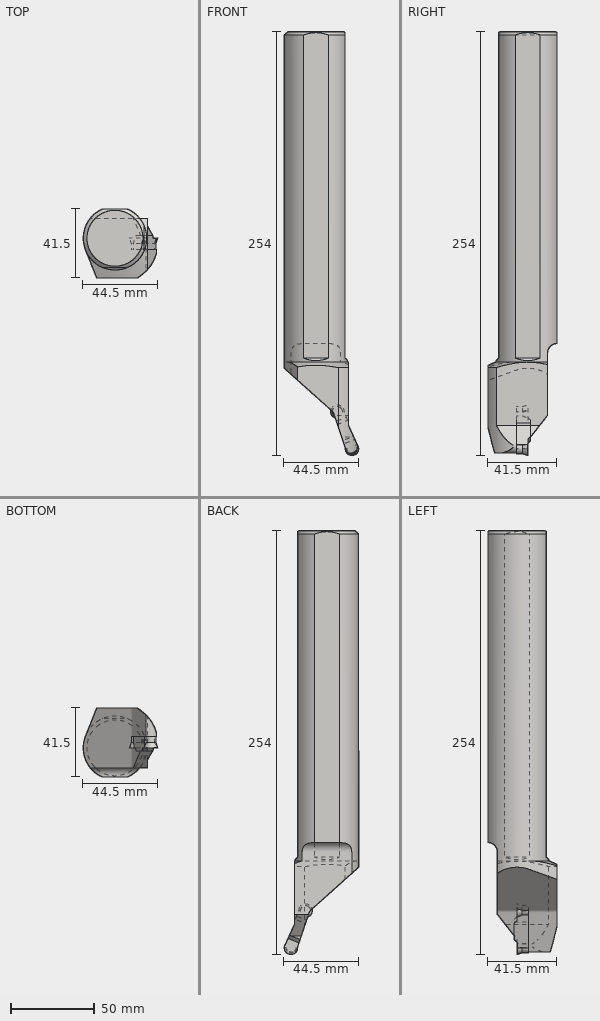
import cadquery as cq
import math

total_height = 254.0
shank_radius = 19.0
flat_distance = 17.5
flat_bottom = 58.5
end_chamfer_radial = 2.3
end_chamfer_height = 2.0

back_face = 12.0
relief_top = 67.0
relief_fillet = 5.5

front_face = -24.0
front_left = -11.0
front_right = 13.5
nose_start = (16.5, -21.5)
nose_middle = (22.4, -15.0)
nose_end = (25.5, -6.9)

head_top = 56.1
head_side = 19.5
head_slope = 0.42
underside_start = 52.3
blade_kink = (10.5, 26.0)
kink_fillet = 3.0
blade_toe = (18.5, 1.5)
blade_side_bottom = 18.0
blade_outer_tip = (25.0, 6.3)
blade_tip_arc = (24.1, 3.0)
blade_tip_end = (21.3, 1.5)

back_slope_top = 24.1
back_slope_bottom = 11.2

seat_face = -6.9
crest_face = 1.8
cutting_radius = 4.0
relieved_radius = 3.0
relief_depth = 3.0
tip_x = 21.5
tip_z = cutting_radius
insert_length = 24.0
insert_tilt = 21.5
neck_half_width = 3.8
neck_inset = 1.3
crest_inset = (4.5, 7.0)
crest_ramp = 2.0

far = 2 * total_height
reach = 4 * shank_radius


def make_flat_cutter(angle):
    """Flat normal to +X with a 45 degree runout, turned about Z by angle."""
    return (
        cq.Workplane("XZ")
        .moveTo(flat_distance, far)
        .lineTo(flat_distance, flat_bottom)
        .lineTo(flat_distance + reach, flat_bottom - reach)
        .lineTo(flat_distance + reach, far)
        .close()
        .extrude(reach, both=True)
        .rotate((0, 0, 0), (0, 0, 1), angle)
    )


def make_shank():
    """Chamfered round bar, reaching down to the foot of the head."""
    bar = (
        cq.Workplane("XZ")
        .lineTo(shank_radius, 0)
        .lineTo(shank_radius, total_height - end_chamfer_height)
        .lineTo(shank_radius - end_chamfer_radial, total_height)
        .lineTo(0, total_height)
        .close()
        .revolve(360, (0, 0, 0), (0, 1, 0))
    )
    for angle in (-90, 0, 90):
        bar = bar.cut(make_flat_cutter(angle))
    return bar


def make_head_plan():
    """Plan shape of the head, capped by a shallow cone about the shank axis."""
    corner_distance = math.hypot(front_left, front_face)
    tangent_angle = math.atan2(front_face, front_left) - math.acos(shank_radius / corner_distance)
    tangent_point = (shank_radius * math.cos(tangent_angle), shank_radius * math.sin(tangent_angle))
    plan = (
        cq.Workplane("XY")
        .moveTo(*tangent_point)
        .lineTo(front_left, front_face)
        .lineTo(front_right, front_face)
        .lineTo(*nose_start)
        .threePointArc(nose_middle, nose_end)
        .lineTo(nose_end[0], back_face)
        .lineTo(0, back_face)
        .lineTo(0, 0)
        .close()
        .extrude(total_height)
    )
    cone_cap = (
        cq.Workplane("XZ")
        .lineTo(reach, 0)
        .lineTo(reach, head_top - head_slope * (reach - shank_radius))
        .lineTo(shank_radius, head_top)
        .lineTo(0, head_top)
        .close()
        .revolve(360, (0, 0, 0), (0, 1, 0))
    )
    return plan.intersect(cone_cap)


def make_elevation():
    """Front elevation of shank and blade as a prism running along Y."""
    elevation = (
        cq.Workplane("XZ")
        .moveTo(-shank_radius, total_height)
        .lineTo(-shank_radius, underside_start)
        .lineTo(*blade_kink)
        .lineTo(*blade_toe)
        .lineTo(*blade_tip_end)
        .threePointArc(blade_tip_arc, blade_outer_tip)
        .lineTo(head_side, blade_side_bottom)
        .lineTo(head_side, total_height)
        .close()
        .extrude(reach, both=True)
    )
    at_kink = cq.selectors.NearestToPointSelector((blade_kink[0], 0, blade_kink[1]))
    return elevation.edges("|Y").edges(at_kink).fillet(kink_fillet)


def make_back_relief():
    """Material milled off the back of the head, with a filleted shoulder."""
    shoulder = relief_top - relief_fillet
    bend = relief_fillet * (1 - math.sqrt(0.5))
    return (
        cq.Workplane("YZ")
        .moveTo(reach, relief_top)
        .lineTo(back_face + relief_fillet, relief_top)
        .threePointArc((back_face + bend, relief_top - bend), (back_face, shoulder))
        .lineTo(back_face, back_slope_top)
        .lineTo(crest_face, back_slope_bottom)
        .lineTo(seat_face, back_slope_bottom)
        .lineTo(seat_face, -reach)
        .lineTo(reach, -reach)
        .close()
        .extrude(reach, both=True)
    )


def make_cutting_end(along):
    """Round end at a distance along the insert axis, tapered below its rake face."""
    return (
        cq.Workplane("XY")
        .lineTo(cutting_radius, 0)
        .lineTo(relieved_radius, -relief_depth)
        .lineTo(relieved_radius, seat_face)
        .lineTo(0, seat_face)
        .close()
        .revolve(360, (0, 0, 0), (0, 1, 0))
        .translate((0, 0, along))
    )


def make_neck():
    """Bar between the cutting ends, with a raised crest along its middle."""
    top = insert_length - neck_inset
    crest_low = crest_inset[0]
    crest_high = insert_length - crest_inset[1]
    return (
        cq.Workplane("YZ")
        .moveTo(seat_face, neck_inset)
        .lineTo(0, neck_inset)
        .lineTo(0, crest_low)
        .lineTo(crest_face, crest_low + crest_ramp)
        .lineTo(crest_face, crest_high)
        .lineTo(0, crest_high + crest_ramp)
        .lineTo(0, top)
        .lineTo(seat_face, top)
        .close()
        .extrude(neck_half_width, both=True)
    )


def place_insert(shape):
    """Tilt a shape from the Z axis onto the insert axis."""
    tilted = shape.rotate((0, 0, 0), (0, 1, 0), -insert_tilt)
    return tilted.translate((tip_x, 0, tip_z))


def make_insert():
    """Neck trimmed flush with the blade, joined to both cutting ends."""
    insert = place_insert(make_neck()).intersect(make_elevation())
    for along in (0, insert_length):
        insert = insert.union(place_insert(make_cutting_end(along)))
    return insert


def make_holder(insert):
    """Shank and head in one piece, with a seat that matches the insert."""
    holder = make_shank().union(make_head_plan())
    holder = holder.intersect(make_elevation())
    return holder.cut(make_back_relief()).cut(insert)


insert = make_insert()
holder = make_holder(insert)

result = cq.Compound.makeCompound([holder.solids().val(), insert.solids().val()])